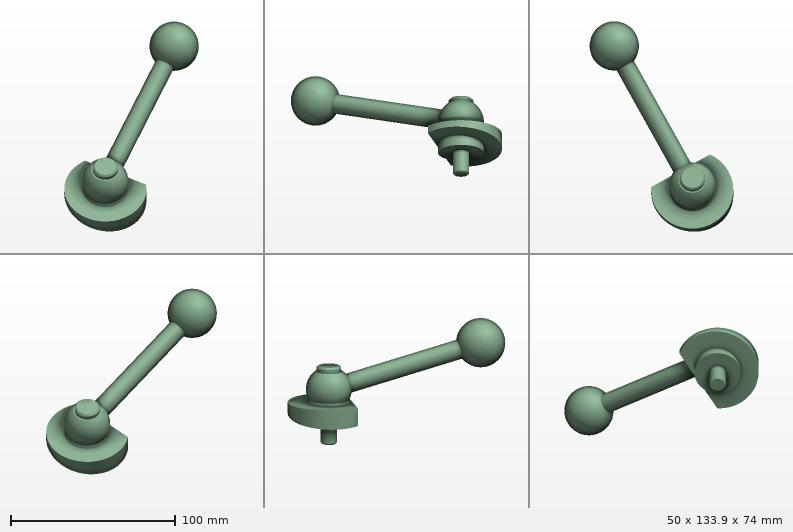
import cadquery as cq
import math

plate_radius = 25.0
plate_top = 12.0
flat_y = 14.0
wedge_mid_height = 4.0
wedge_angle = 9.0

hub_radius = 14.0
pin_radius = 5.0
pin_length = 14.0
pin_chamfer = 0.8

foot_bottom_radius = 13.8
foot_top = 13.6
hub_ball_radius = 14.0
hub_ball_z = 19.83
ball_flat_z = 31.0
collar_radius = 7.5
collar_top = 34.5
collar_chamfer = 1.0

rod_radius = 6.0
rod_angle = 15.0
knob_radius = 15.0
rod_length = 97.2


def ball_section_radius(z):
    """Radius of the hub ball's horizontal section at height z."""
    return math.sqrt(hub_ball_radius**2 - (z - hub_ball_z) ** 2)


def cylinder(radius, bottom, top):
    return cq.Workplane("XY").workplane(offset=bottom).circle(radius).extrude(top - bottom)


def make_plate():
    """Disc with a sloping underside and one straight edge."""
    drop = plate_radius * math.tan(math.radians(wedge_angle))
    wedge = (
        cq.Workplane("XZ")
        .moveTo(-plate_radius, wedge_mid_height + drop)
        .lineTo(plate_radius, wedge_mid_height - drop)
        .lineTo(plate_radius, plate_top)
        .lineTo(-plate_radius, plate_top)
        .close()
        .extrude(plate_radius, both=True)
    )
    hub = cylinder(hub_radius, 0, plate_top)
    plate = cylinder(plate_radius, 0, plate_top).intersect(wedge).union(hub)
    behind_flat = (
        cq.Workplane("XY")
        .center(0, flat_y + plate_radius / 2)
        .rect(2 * plate_radius, plate_radius)
        .extrude(plate_top)
    )
    return plate.cut(behind_flat)


def make_pin():
    return cylinder(pin_radius, -pin_length, 0).faces("<Z").chamfer(pin_chamfer)


def make_turned_hub():
    """Foot, truncated ball and chamfered collar, revolved about Z."""
    profile = (
        cq.Workplane("XZ")
        .moveTo(0, plate_top)
        .lineTo(foot_bottom_radius, plate_top)
        .lineTo(ball_section_radius(foot_top), foot_top)
        .threePointArc((hub_ball_radius, hub_ball_z), (ball_section_radius(ball_flat_z), ball_flat_z))
        .lineTo(collar_radius, ball_flat_z)
        .lineTo(collar_radius, collar_top - collar_chamfer)
        .lineTo(collar_radius - collar_chamfer, collar_top)
        .lineTo(0, collar_top)
        .close()
    )
    return profile.revolve(360, (0, 0), (0, 1))


def make_handle():
    angle = math.radians(rod_angle)
    hub_centre = cq.Vector(0, 0, hub_ball_z)
    direction = cq.Vector(0, math.cos(angle), math.sin(angle))
    knob_centre = hub_centre + direction * rod_length
    rod_plane = cq.Plane(origin=hub_centre, xDir=(1, 0, 0), normal=direction)
    rod = cq.Workplane(rod_plane).circle(rod_radius).extrude(rod_length)
    knob = cq.Workplane("XY").sphere(knob_radius).translate(knob_centre)
    return rod.union(knob)


result = make_plate().union(make_pin()).union(make_turned_hub()).union(make_handle())